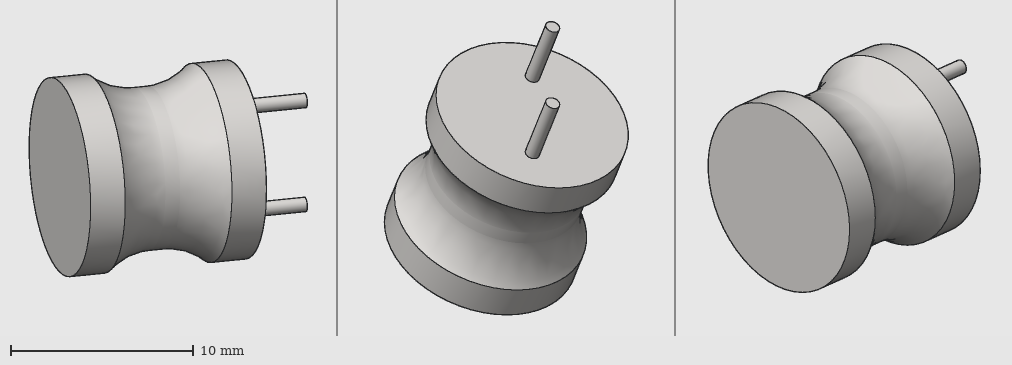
import cadquery as cq
import math

total_length = 14.15
pin_length = 4.0
flange_diameter = 11.0
flange_thickness = 2.0
waist_diameter = 9.0
waist_band_length = 0.85
pin_diameter = 0.8
pin_spacing = 6.0

spool_half_length = (total_length - pin_length) / 2
flange_inner_y = spool_half_length - flange_thickness
band_end_y = waist_band_length / 2
flange_radius = flange_diameter / 2
waist_radius = waist_diameter / 2

flare_length = flange_inner_y - band_end_y
flare_rise = flange_radius - waist_radius
flare_radius = (flare_length**2 + flare_rise**2) / (2 * flare_rise)
flare_half_angle = math.asin(flare_length / flare_radius) / 2
flare_mid_x = waist_radius + flare_radius * (1 - math.cos(flare_half_angle))
flare_mid_y = band_end_y + flare_radius * math.sin(flare_half_angle)


def make_spool():
    """Revolve the flanged half profile about the Y axis."""
    return (
        cq.Workplane("XY")
        .moveTo(0, -spool_half_length)
        .lineTo(flange_radius, -spool_half_length)
        .lineTo(flange_radius, -flange_inner_y)
        .threePointArc((flare_mid_x, -flare_mid_y), (waist_radius, -band_end_y))
        .lineTo(waist_radius, band_end_y)
        .threePointArc((flare_mid_x, flare_mid_y), (flange_radius, flange_inner_y))
        .lineTo(flange_radius, spool_half_length)
        .lineTo(0, spool_half_length)
        .close()
        .revolve(360, (0, 0, 0), (0, 1, 0))
    )


def add_pins(spool):
    """Add the two lead pins on the +Y flange face, spaced along Z."""
    return (
        spool.faces(">Y")
        .workplane(origin=(0, spool_half_length, 0))
        .pushPoints([(0, -pin_spacing / 2), (0, pin_spacing / 2)])
        .circle(pin_diameter / 2)
        .extrude(pin_length)
    )


result = add_pins(make_spool())